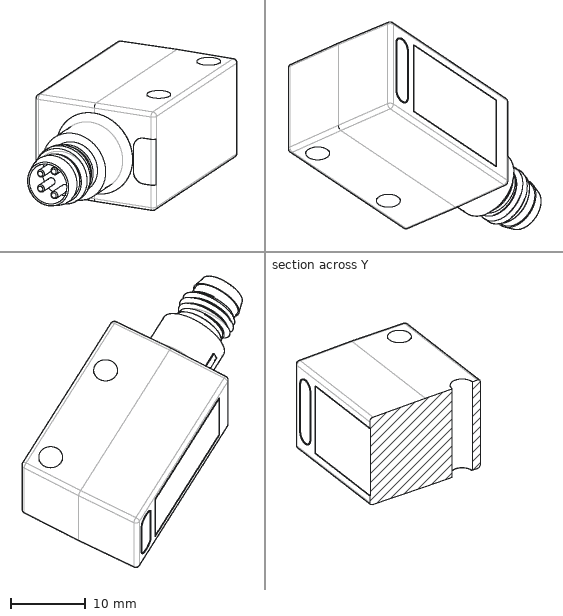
import cadquery as cq
import math


total_length = 39.3
body_width = 17.9
body_height = 13.9
body_front = 13.9
body_fillet = 0.55
draft = 0.1
half_width = body_width / 2
half_height = body_height / 2
body_length = total_length - body_front

hole_diameter = 3.2
hole_edge_distance = 3.0
hole_pitch = 15.0

window_length = 10.02
window_width = 2.55
window_groove = 0.1
window_back_distance = 2.55
label_length = 17.55
label_height = 10.55
label_back_distance = 5.0
side_depth = 0.08

recess_height = 6.5
recess_start = 5.78
recess_corner = 1.55
recess_depth = 0.08

collar_radius = 4.7
collar_end = 7.82
collar_fillet = 1.0
neck_radius = 3.5
neck_end = 6.52
neck_chamfer = 0.1
core_radius = 3.3
nose_length = 1.65
tip_radius = 3.05

thread_radius = 4.0
thread_pitch = 0.95
thread_start = 2.85
thread_end = 5.8
thread_crest = 3.65
thread_turns_before_crest = 2
thread_turns = 5
thread_root_overlap = 0.08
thread_half_angle = 30.0

bore_radius = 2.8
bore_depth = 3.93
pin_radius = 0.5
pin_chamfer = 0.15
pin_tip = 0.55
pin_embed = 0.5
pin_positions = [(0.6, 1.7), (0.6, -1.7), (-1.4, 1.05), (-1.4, -1.05)]

key_start = 9.9
key_end = 13.4
key_width = 1.02
key_radius = 4.87
key_root_radius = 4.32
key_angle = 22.5


def make_body_half(side_x, side_half_height):
    """Half of the housing from the parting plane out to side_x, outer edges rounded."""
    middle_y = (body_front + total_length) / 2
    half = (
        cq.Workplane("YZ", origin=(0, middle_y, 0))
        .rect(body_length, body_height)
        .workplane(offset=side_x)
        .rect(body_length - 2 * draft, 2 * side_half_height)
        .loft()
    )
    outer_edges = half.edges().filter(lambda edge: abs(edge.Center().x) > body_fillet)
    return outer_edges.fillet(body_fillet)


def make_body():
    """Block whose front and back are drafted both ways, and top and bottom only towards -X."""
    right_half = make_body_half(half_width, half_height)
    left_half = make_body_half(-half_width, half_height - draft)
    return right_half.union(left_half)


def make_mounting_holes():
    x = half_width - hole_edge_distance
    back_y = total_length - hole_edge_distance
    return (
        cq.Workplane("XY")
        .pushPoints([(x, back_y), (x, back_y - hole_pitch)])
        .circle(hole_diameter / 2)
        .extrude(body_height, both=True)
    )


def make_front_recess(body):
    """Shallow recess that keeps the rounded front edge, shifted back by its depth."""
    reach = 2 * half_width
    prism = (
        cq.Workplane("XZ", origin=(recess_start + reach / 2, body_front + body_fillet, 0))
        .rect(reach, recess_height)
        .extrude(2 * body_fillet)
        .edges("|Y and <X")
        .fillet(recess_corner)
    )
    return prism.cut(body.translate((0, recess_depth, 0)))


def make_side_markings():
    """Obround groove around the window and the sunken label field."""
    side = cq.Workplane("YZ", origin=(-half_width, 0, 0))
    window_y = total_length - window_back_distance
    window = side.center(window_y, 0)
    groove = (
        window.slot2D(window_length, window_width, 90)
        .extrude(side_depth)
        .cut(
            window.slot2D(window_length - 2 * window_groove, window_width - 2 * window_groove, 90)
            .extrude(side_depth)
        )
    )
    label_y = total_length - label_back_distance - label_length / 2
    label = side.center(label_y, 0).rect(label_length, label_height).extrude(side_depth)
    return groove.union(label)


def make_plug_shell():
    """Turned outer form of the plug: tapered nose, core, neck, collar and flared root."""
    flare_start = body_front - collar_fillet
    flare_middle = collar_fillet * math.sqrt(0.5)
    root = body_front + body_fillet
    flare_radius = collar_radius + collar_fillet
    return (
        cq.Workplane("XY")
        .moveTo(0, 0)
        .lineTo(tip_radius, 0)
        .lineTo(neck_radius, nose_length)
        .lineTo(core_radius, nose_length)
        .lineTo(core_radius, neck_end - neck_chamfer)
        .lineTo(neck_radius, neck_end)
        .lineTo(neck_radius, collar_end)
        .lineTo(collar_radius, collar_end)
        .lineTo(collar_radius, flare_start)
        .threePointArc(
            (flare_radius - flare_middle, flare_start + flare_middle),
            (flare_radius, body_front),
        )
        .lineTo(flare_radius, root)
        .lineTo(0, root)
        .close()
        .revolve(360, (0, 0, 0), (0, 1, 0))
    )


def make_thread():
    """Right-hand V ridge around the core, bevelled at 45 degrees at both ends."""
    inner = core_radius - thread_root_overlap
    depth = thread_radius - core_radius
    half_base = (thread_radius - inner) * math.tan(math.radians(thread_half_angle))
    first_crest = thread_crest - thread_turns_before_crest * thread_pitch
    height = thread_turns * thread_pitch
    helix = cq.Wire.makeHelix(thread_pitch, height, inner, cq.Vector(0, 0, first_crest))
    ridge = (
        cq.Workplane("XZ")
        .moveTo(inner, first_crest - half_base)
        .lineTo(thread_radius, first_crest)
        .lineTo(inner, first_crest + half_base)
        .close()
        .sweep(cq.Workplane(obj=helix), isFrenet=True)
        .rotate((0, 0, 0), (1, 0, 0), -90)
    )
    bore = inner - thread_root_overlap
    envelope = (
        cq.Workplane("XY")
        .moveTo(bore, thread_start)
        .lineTo(core_radius, thread_start)
        .lineTo(thread_radius + depth, thread_start + 2 * depth)
        .lineTo(thread_radius + depth, thread_end - 2 * depth)
        .lineTo(core_radius, thread_end)
        .lineTo(bore, thread_end)
        .close()
        .revolve(360, (0, 0, 0), (0, 1, 0))
    )
    return ridge.intersect(envelope)


def make_bore():
    return cq.Workplane("XZ").circle(bore_radius).extrude(-bore_depth)


def make_pins():
    """Contact pins rising from the bore floor, ends chamfered."""
    return (
        cq.Workplane("XZ", origin=(0, bore_depth + pin_embed, 0))
        .pushPoints(pin_positions)
        .circle(pin_radius)
        .extrude(bore_depth + pin_embed - pin_tip)
        .faces("<Y")
        .chamfer(pin_chamfer)
    )


def make_key():
    """Straight-sided rib on the collar with a concentric outer face."""
    length = key_end - key_start
    bar_height = key_radius
    bar = cq.Workplane("XY").box(bar_height, length, key_width)
    bar = bar.translate((-key_root_radius - bar_height / 2, (key_start + key_end) / 2, 0))
    cylinder = cq.Workplane("XZ", origin=(0, key_start, 0)).circle(key_radius).extrude(-length)
    return bar.intersect(cylinder).rotate((0, 0, 0), (0, 1, 0), key_angle)


body = make_body()
housing = body.cut(make_mounting_holes()).cut(make_front_recess(body)).cut(make_side_markings())
plug = make_plug_shell().union(make_thread()).union(make_key()).cut(make_bore()).union(make_pins())
result = housing.union(plug)